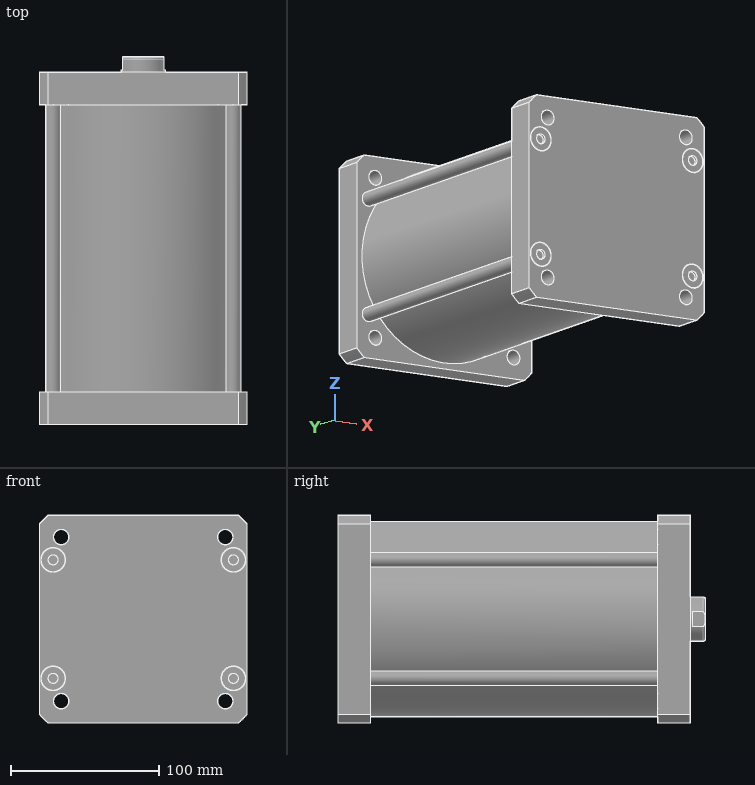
import cadquery as cq

overall_length = 248.0
plate_side = 140.0
plate_thickness = 22.0
plate_corner_diameter = 190.0
barrel_diameter = 132.0

rod_diameter = 10.0
rod_x = 60.8
rod_z = 40.0
counterbore_diameter = 16.5
head_diameter = 16.0
head_depth = 10.0
socket_diameter = 6.7
socket_depth = 2.5

mount_hole_diameter = 10.2
mount_hole_offset = 55.3

rod_end_diameter = 30.0
rod_end_length = 10.5
rod_end_collar = 1.5
rod_end_fillet = 2.0
flat_width = 28.3

front_y = -overall_length / 2
back_y = overall_length / 2 - rod_end_length
back_plate_y = back_y - plate_thickness


def along_y(start_y):
    """Sketch plane at start_y: local x is X, local y is Z, extruding towards +Y."""
    return cq.Workplane(cq.Plane((0, start_y, 0), xDir=(1, 0, 0), normal=(0, 1, 0)))


def disc(diameter, start_y, length, points=((0, 0),)):
    """Round bars of one diameter along Y at the given centres."""
    return along_y(start_y).pushPoints(points).circle(diameter / 2).extrude(length)


def mirrored_points(x, z):
    """The four points that mirror one point about X and Z."""
    return [(sx * x, sz * z) for sx in (-1, 1) for sz in (-1, 1)]


def end_plate(start_y):
    """Square plate with turned corners and a mounting hole near each corner."""
    square = along_y(start_y).rect(plate_side, plate_side).extrude(plate_thickness)
    plate = square.intersect(disc(plate_corner_diameter, start_y, plate_thickness))
    holes = disc(mount_hole_diameter, start_y, plate_thickness,
                 mirrored_points(mount_hole_offset, mount_hole_offset))
    return plate.cut(holes)


def screw_recesses(points):
    """Thin gaps around the sunk screw heads, and the sockets in the heads."""
    gaps = disc(counterbore_diameter, front_y, head_depth, points).cut(
        disc(head_diameter, front_y, head_depth, points))
    return gaps.union(disc(socket_diameter, front_y, socket_depth, points))


def rod_end():
    """Rounded stub with a flat on each X side, left full round next to the plate."""
    stub = disc(rod_end_diameter, back_y, rod_end_length).faces(">Y").edges().fillet(rod_end_fillet)
    flat_length = rod_end_length - rod_end_collar
    flats_plane = along_y(back_y + rod_end_collar)
    between_flats = flats_plane.rect(flat_width, rod_end_diameter).extrude(flat_length)
    collar = disc(rod_end_diameter, back_y, rod_end_collar)
    return stub.intersect(between_flats).union(collar)


rod_points = mirrored_points(rod_x, rod_z)
barrel_y = front_y + plate_thickness
barrel_length = back_plate_y - barrel_y

result = (
    end_plate(front_y)
    .union(end_plate(back_plate_y))
    .union(disc(barrel_diameter, barrel_y, barrel_length))
    .union(disc(rod_diameter, barrel_y, barrel_length, rod_points))
    .union(rod_end())
    .cut(screw_recesses(rod_points))
)